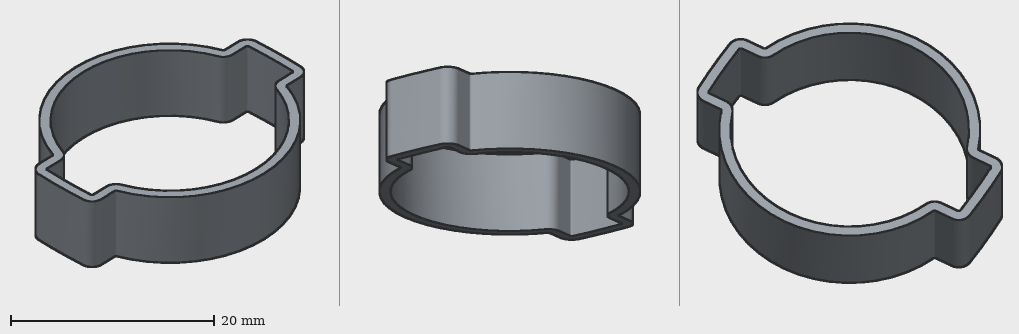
import cadquery as cq

ring_diameter = 25.7
overall_length = 31.0
band_height = 8.0
wall = 1.12
ear_width = 8.52
ear_bow_radius = 65.08
tight_bend = 0.2
wide_bend = tight_bend + wall


def bowed_bar(width, length, bow_radius):
    """Upright bar along Y whose two end faces bow outward."""
    half_width = width / 2
    crown_y = length / 2
    corner_y = crown_y - bow_radius + (bow_radius**2 - half_width**2) ** 0.5
    return (
        cq.Workplane("XY")
        .moveTo(half_width, -corner_y)
        .lineTo(half_width, corner_y)
        .threePointArc((0, crown_y), (-half_width, corner_y))
        .lineTo(-half_width, -corner_y)
        .threePointArc((0, -crown_y), (half_width, -corner_y))
        .close()
        .extrude(band_height)
    )


def ring_with_ears(diameter, width, length, bow_radius, tip_radius, neck_radius):
    """Solid disc crossed by a bar along Y, with rounded bar tips and necks."""
    disc = cq.Workplane("XY").circle(diameter / 2).extrude(band_height)
    bar = bowed_bar(width, length, bow_radius).edges("|Z").fillet(tip_radius)
    body = disc.union(bar)

    neck_x = width / 2
    neck_y = ((diameter / 2) ** 2 - neck_x**2) ** 0.5
    for side_x in (-1, 1):
        for side_y in (-1, 1):
            neck = (side_x * neck_x, side_y * neck_y, band_height / 2)
            body = body.edges(cq.selectors.NearestToPointSelector(neck)).fillet(neck_radius)
    return body


outside = ring_with_ears(
    ring_diameter,
    ear_width,
    overall_length,
    ear_bow_radius,
    wide_bend,
    tight_bend,
)
inside = ring_with_ears(
    ring_diameter - 2 * wall,
    ear_width - 2 * wall,
    overall_length - 2 * wall,
    ear_bow_radius - wall,
    tight_bend,
    wide_bend,
)

result = outside.cut(inside)